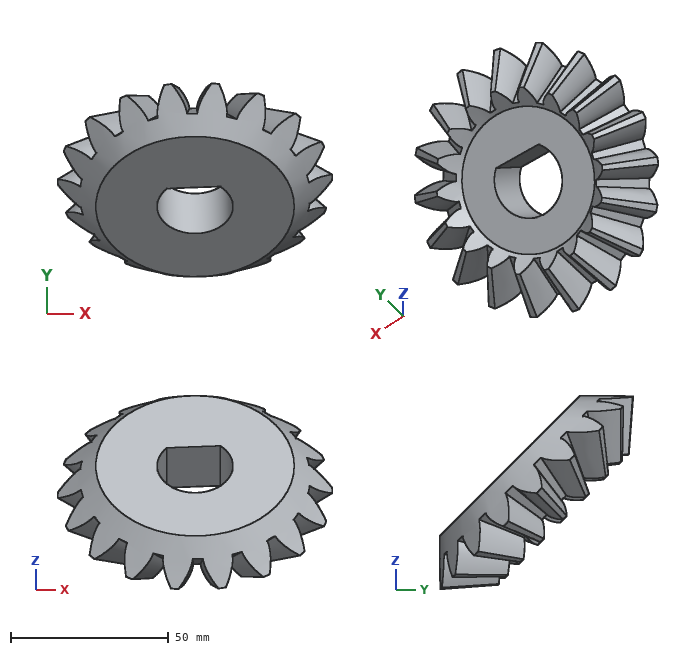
import cadquery as cq
import math

TILT = 45.0
PITCH_ANGLE = math.radians(45.0)
PRESSURE_ANGLE = math.radians(25.0)
TEETH = 18
GAP_TURN = 1.4
TIP_RADIUS = 43.7
ADDENDUM_FACTOR = 1.0
DEDENDUM_FACTOR = 1.2
FACE_WIDTH = 18.3
HUB_FACE_RADIUS = 31.5
THICKNESS = 18.0

BORE_RADIUS = 12.05
BORE_FLAT_DISTANCE = 8.6
BORE_FLAT_TURN = 3.0

CUTTER_OUTER_SCALE = 1.2
CUTTER_INNER_SCALE = 0.5
CUTTER_OVERRUN = 0.6
FLANK_STEPS = 6

sin_pitch = math.sin(PITCH_ANGLE)
cos_pitch = math.cos(PITCH_ANGLE)
module = TIP_RADIUS / (TEETH / 2 + ADDENDUM_FACTOR * cos_pitch)
addendum = ADDENDUM_FACTOR * module
dedendum = DEDENDUM_FACTOR * module
pitch_radius = module * TEETH / 2
cone_distance = pitch_radius / sin_pitch
inner_scale = (cone_distance - FACE_WIDTH) / cone_distance

virtual_radius = pitch_radius / cos_pitch
base_radius = virtual_radius * math.cos(PRESSURE_ANGLE)
root_radius = virtual_radius - dedendum


def cone_point(height, scale):
    """Radius and axial place of a point at a height above the pitch cone."""
    radius = scale * (pitch_radius + height * cos_pitch)
    axial = scale * (cone_distance * cos_pitch - height * sin_pitch)
    return radius, axial


def make_blank():
    """Revolve the tip cone, the two end cones and the flat hub faces."""
    outer_tip = cone_point(addendum, 1.0)
    inner_tip = cone_point(addendum, inner_scale)
    slope = math.tan(PITCH_ANGLE)
    top = outer_tip[1] + (outer_tip[0] - HUB_FACE_RADIUS) * slope
    bottom = top - THICKNESS
    bottom_radius = inner_tip[0] - (bottom - inner_tip[1]) / slope
    outline = [
        (0, top),
        (HUB_FACE_RADIUS, top),
        outer_tip,
        inner_tip,
        (bottom_radius, bottom),
        (0, bottom),
    ]
    return cq.Workplane("XZ").polyline(outline).close().revolve(360, (0, 0), (0, 1))


def involute_angle(radius):
    """Polar angle of the involute, measured from its start on the base circle."""
    roll = math.sqrt((radius / base_radius) ** 2 - 1)
    return roll - math.atan(roll)


def flank_point(radius, scale):
    """Point on the right flank of a gap, relative to the pitch point."""
    half_gap = math.pi * module / 4 / virtual_radius
    angle = half_gap + involute_angle(max(radius, base_radius)) - involute_angle(virtual_radius)
    x = radius * math.sin(angle)
    y = radius * math.cos(angle) - virtual_radius
    return scale * x, scale * y


def gap_section(scale):
    """Closed wire of a tooth gap, square to the pitch cone and scaled from the apex."""
    end_radius = virtual_radius + addendum + CUTTER_OVERRUN * module
    step = (end_radius - base_radius) / FLANK_STEPS
    right = [flank_point(base_radius + i * step, scale) for i in range(FLANK_STEPS + 1)]
    left = [(-x, y) for x, y in reversed(right)]
    root_x, root_y = flank_point(root_radius, scale)
    radius, axial = cone_point(0, scale)
    plane = cq.Plane(
        origin=(0, -radius, axial),
        xDir=(1, 0, 0),
        normal=(0, sin_pitch, -cos_pitch),
    )
    return (
        cq.Workplane(plane)
        .moveTo(-root_x, root_y)
        .lineTo(root_x, root_y)
        .lineTo(*right[0])
        .spline(right[1:], includeCurrent=True)
        .lineTo(*left[0])
        .spline(left[1:], includeCurrent=True)
        .close()
        .val()
    )


def make_gap_cutter():
    sections = [gap_section(CUTTER_INNER_SCALE), gap_section(CUTTER_OUTER_SCALE)]
    return cq.Workplane(cq.Solid.makeLoft(sections, True))


def make_bore():
    """D-shaped through bore with its flat turned slightly from +Y."""
    length = 2 * cone_distance
    size = 2 * BORE_RADIUS
    round_bore = cq.Workplane("XY").circle(BORE_RADIUS).extrude(length)
    keep = (
        cq.Workplane("XY")
        .center(0, BORE_FLAT_DISTANCE - size / 2)
        .rect(size, size)
        .extrude(length)
    )
    return round_bore.intersect(keep).rotate((0, 0, 0), (0, 0, 1), BORE_FLAT_TURN)


gear = make_blank().cut(make_bore())
gap_cutter = make_gap_cutter()
for index in range(TEETH):
    gear = gear.cut(gap_cutter.rotate((0, 0, 0), (0, 0, 1), GAP_TURN + index * 360 / TEETH))

result = gear.rotate((0, 0, 0), (1, 0, 0), TILT)